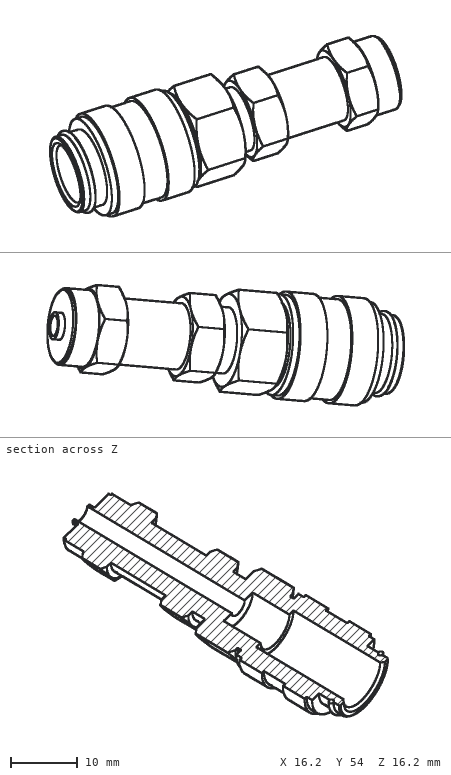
import cadquery as cq
import math

total_length = 54.0

nose_radius = 5.95
nose_end = 4.0
nose_chamfer = 0.2

ring_wire_radius = 0.4
ring_centre_radius = 6.05
ring_position = 1.6

sleeve_radius = 7.6
band_radius = 8.1
first_band_start = 5.05
first_band_end = 9.2
second_band_start = 13.2
second_band_end = 17.5
sleeve_end = 18.5
neck_radius = 6.45

large_hex_flats = 14.0
large_hex_start = 19.1
large_hex_end = 26.5
small_hex_flats = 12.0
middle_hex_start = 28.85
middle_hex_end = 34.0
rear_hex_start = 44.35
rear_hex_end = 48.95
hex_chamfer_angle = 30.0

tube_radius = 5.0
cap_radius = 5.8
cap_end = 52.6
cap_step_radius = 5.5
cap_step_end = 53.0
stub_radius = 2.05

mouth_radius = 5.0
mouth_chamfer = 0.5
socket_radius = 4.5
socket_depth = 17.0
inner_bore_radius = 3.5
inner_bore_depth = 24.0
through_bore_radius = 1.55


def cylinder(radius, start, end):
    """Solid cylinder around the Y axis from start to end."""
    return cq.Workplane("XZ", origin=(0, start, 0)).circle(radius).extrude(start - end)


def cone(start_radius, end_radius, length):
    """Truncated cone around the Y axis, starting at the nose face."""
    profile = [(0, 0), (start_radius, 0), (end_radius, length), (0, length)]
    return cq.Workplane("XY").polyline(profile).close().revolve(360, (0, 0), (0, 1))


def chamfered_hexagon(flats, start, end):
    """Hexagon with corners on X, its corners turned down conically at both ends."""
    face_radius = flats / 2
    corner_radius = face_radius / math.cos(math.pi / 6)
    setback = (corner_radius - face_radius) * math.tan(math.radians(hex_chamfer_angle))
    prism = (
        cq.Workplane("XZ", origin=(0, start, 0))
        .polygon(6, 2 * corner_radius)
        .extrude(start - end)
    )
    envelope = cylinder(corner_radius, start, end).edges().chamfer(setback, corner_radius - face_radius)
    return prism.intersect(envelope)


def make_snap_ring():
    """Closed ring of round wire around the nose."""
    return (
        cq.Workplane("XY")
        .center(ring_centre_radius, ring_position)
        .circle(ring_wire_radius)
        .revolve(360, (-ring_centre_radius, 0), (-ring_centre_radius, 1))
    )


def make_bore():
    """Stepped bore with a conical mouth."""
    bore = cylinder(through_bore_radius, 0, total_length)
    bore = bore.union(cylinder(inner_bore_radius, 0, inner_bore_depth))
    bore = bore.union(cylinder(socket_radius, 0, socket_depth))
    return bore.union(cone(mouth_radius, socket_radius, mouth_chamfer))


def make_coupling():
    """Coupling body from nose to hose stub, bored through and grooved for the ring."""
    body = cylinder(nose_radius, 0, nose_end).faces("<Y").chamfer(nose_chamfer)
    sections = [
        (sleeve_radius, nose_end, sleeve_end),
        (band_radius, first_band_start, first_band_end),
        (band_radius, second_band_start, second_band_end),
        (neck_radius, sleeve_end, large_hex_start),
        (tube_radius, large_hex_end, rear_hex_start),
        (cap_radius, rear_hex_end, cap_end),
        (cap_step_radius, cap_end, cap_step_end),
        (stub_radius, cap_step_end, total_length),
    ]
    for radius, start, end in sections:
        body = body.union(cylinder(radius, start, end))

    hexagons = [
        (large_hex_flats, large_hex_start, large_hex_end),
        (small_hex_flats, middle_hex_start, middle_hex_end),
        (small_hex_flats, rear_hex_start, rear_hex_end),
    ]
    for flats, start, end in hexagons:
        body = body.union(chamfered_hexagon(flats, start, end))

    return body.cut(make_bore()).cut(make_snap_ring())


coupling = make_coupling()
snap_ring = make_snap_ring()

result = cq.Compound.makeCompound([coupling.solids().val(), snap_ring.val()])